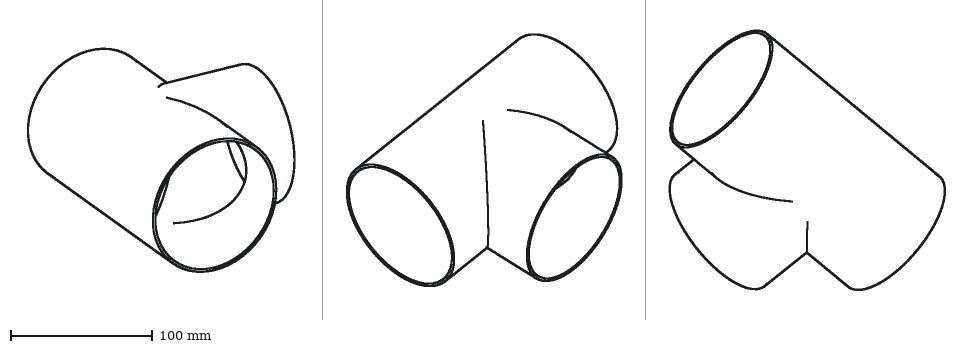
import cadquery as cq

run_length = 174.6
outer_diameter = 101.6
inner_diameter = 97.5
branch_reach = run_length / 2


def tee_cylinders(diameter):
    """Run and branch cylinders of one diameter, joined with their axes crossing at the origin."""
    run = cq.Workplane("YZ").circle(diameter / 2).extrude(run_length / 2, both=True)
    branch = cq.Workplane("XZ").circle(diameter / 2).extrude(-branch_reach)
    return run.union(branch)


result = tee_cylinders(outer_diameter).cut(tee_cylinders(inner_diameter))